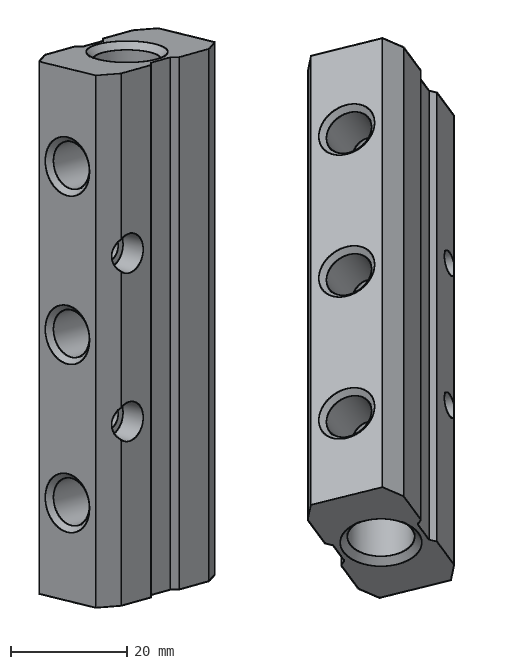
import cadquery as cq
import math

width = 18.0
depth = 30.0
length = 95.0

bevel_run = 2.3
bevel_rise = bevel_run * math.tan(math.radians(60))

groove_depth = 1.0
groove_floor = 4.9
groove_mouth = groove_floor + 2 * groove_depth

bore_diameter = 11.6
bore_mouth = 14.1
cross_diameter = 8.5
cross_mouth = 10.45
cross_pitch = 30.0

screw_diameter = 4.6
screw_head_diameter = 7.0
screw_head_depth = 4.75
screw_offset = 9.0


def drill(diameter, mouth, span):
    """Cutter along Z, centred on the origin, with 45 degree countersinks."""
    half = span / 2
    sink = (mouth - diameter) / 2
    cutter = cq.Workplane("XY").circle(diameter / 2).extrude(half, both=True)
    cone = cq.Workplane(
        cq.Solid.makeCone(diameter / 2, mouth / 2, sink, pnt=cq.Vector(0, 0, half - sink))
    )
    return cutter.union(cone).union(cone.mirror("XY"))


def make_bar():
    half_x = width / 2
    half_y = depth / 2
    quarter = [
        (half_x - groove_depth, groove_floor / 2),
        (half_x, groove_mouth / 2),
        (half_x, half_y - bevel_rise),
        (half_x - bevel_run, half_y),
    ]
    right_side = [(x, -y) for x, y in reversed(quarter)] + quarter
    left_side = [(-x, -y) for x, y in right_side]
    profile = cq.Workplane("XY").polyline(right_side + left_side).close()
    return profile.extrude(length / 2, both=True)


result = make_bar().cut(drill(bore_diameter, bore_mouth, length))

cross_drill = drill(cross_diameter, cross_mouth, depth).rotate((0, 0, 0), (1, 0, 0), 90)
for step in (-1, 0, 1):
    result = result.cut(cross_drill.translate((0, 0, step * cross_pitch)))

screw_drill = cq.Workplane("YZ").circle(screw_diameter / 2).extrude(width / 2, both=True)
head_drill = (
    cq.Workplane("YZ", origin=(width / 2, 0, 0))
    .circle(screw_head_diameter / 2)
    .extrude(-screw_head_depth)
)
screw_drill = screw_drill.union(head_drill)
for side in (-1, 1):
    result = result.cut(screw_drill.translate((0, -screw_offset, side * cross_pitch / 2)))